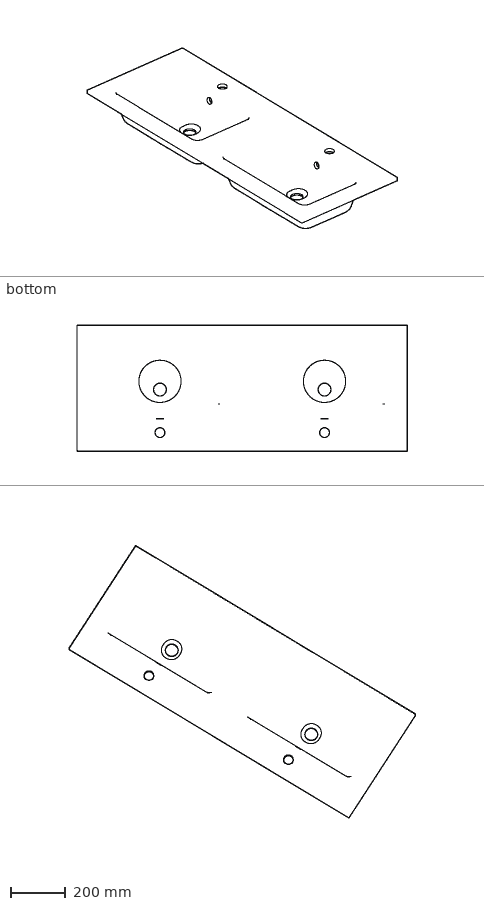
import cadquery as cq
import math

SLAB_LENGTH = 1205
SLAB_WIDTH = 460
SLAB_THICKNESS = 14
SLAB_CORNER_RADIUS = 3
SLAB_TOP_ROUND = 1.5

OVERALL_HEIGHT = 140
BASIN_X = 300
WALL = 12
FLOOR_THICKNESS = 14
RIM_HALF_LENGTH = 236
RIM_BACK_Y = 104.5
RIM_FRONT_Y = -164
SIDE_SLOPE = 14
BACK_SLOPE = 8
FRONT_SLOPE = 14
INNER_CORNER_RADIUS = 30
OUTER_CORNER_RADIUS = 45
INNER_FLOOR_RADIUS = 15
OUTER_FLOOR_RADIUS = 32
RIM_ROUND = 2
UNDERSIDE_ROUND = 9

FLOOR_FALL = 10
FLOOR_EDGE_DEPTH = OVERALL_HEIGHT - FLOOR_THICKNESS - FLOOR_FALL

PAD_Y = -25
PAD_RADIUS = 77
PAD_TOP_DEPTH = 130

DRAIN_Y = 5
DRAIN_DIAMETER = 46
DRAIN_RECESS_DIAMETER = 70
DRAIN_SEAT_HEIGHT = 8.5
DRAIN_SEAT_DEPTH = 133

TAP_Y = 162
TAP_DIAMETER = 35

OVERFLOW_DIAMETER = 25
OVERFLOW_DEPTH = 37
OVERFLOW_REACH = 30

LEVEL_TOLERANCE = 0.01


def make_slab():
    slab = cq.Workplane("XY").box(SLAB_LENGTH, SLAB_WIDTH, SLAB_THICKNESS, centered=(True, True, False))
    slab = slab.translate((0, 0, -SLAB_THICKNESS))
    slab = slab.edges("|Z").fillet(SLAB_CORNER_RADIUS)
    return slab.faces(">Z").edges().fillet(SLAB_TOP_ROUND)


def wall_position(rim, outward, slope, depth, offset):
    """Coordinate of a leaning wall at a depth, moved outward by a normal offset."""
    lean = math.radians(slope)
    return rim + outward * (offset / math.cos(lean) - depth * math.tan(lean))


def outline_corners(depth, offset):
    right = wall_position(RIM_HALF_LENGTH, 1, SIDE_SLOPE, depth, offset)
    back = wall_position(RIM_BACK_Y, 1, BACK_SLOPE, depth, offset)
    front = wall_position(RIM_FRONT_Y, -1, FRONT_SLOPE, depth, offset)
    plan = [(-right, front), (right, front), (right, back), (-right, back)]
    return [cq.Vector(x, y, -depth) for x, y in plan]


def flat_face(corners):
    return cq.Face.makeFromWires(cq.Wire.makePolygon(corners, close=True))


def basin_body(offset, floor_offset, corner_radius, floor_radius):
    """Tapered basin volume; its floor is four twisted patches meeting at the drain."""
    floor_depth = FLOOR_EDGE_DEPTH + floor_offset
    top = outline_corners(0, offset)
    low = outline_corners(floor_depth, offset)
    drain = cq.Vector(0, DRAIN_Y, -floor_depth - FLOOR_FALL)
    feet = [
        cq.Vector(0, low[0].y, -floor_depth),
        cq.Vector(low[1].x, DRAIN_Y, -floor_depth),
        cq.Vector(0, low[2].y, -floor_depth),
        cq.Vector(low[3].x, DRAIN_Y, -floor_depth),
    ]
    faces = [flat_face(top)]
    for i in range(4):
        j = (i + 1) % 4
        faces.append(flat_face([top[i], low[i], feet[i], low[j], top[j]]))
        to_drain = cq.Edge.makeLine(feet[i - 1], drain)
        along_wall = cq.Edge.makeLine(low[i], feet[i])
        faces.append(cq.Face.makeRuledSurface(to_drain, along_wall))
    solid = cq.Solid.makeSolid(cq.Shell.makeShell(faces))
    body = cq.Workplane("XY").newObject([solid.fix()])
    corner_edges = []
    for corner in outline_corners(floor_depth / 2, offset):
        corner_edges.append(min(body.edges().vals(), key=lambda e: (e.Center() - corner).Length))
    body = body.newObject([body.val().fillet(corner_radius, corner_edges)])
    edges = body.edges().vals()
    floor_edges = [e for e in edges if abs(e.BoundingBox().zmin + floor_depth) < LEVEL_TOLERANCE]
    return body.newObject([body.val().fillet(floor_radius, floor_edges)])


def edges_at_height(body, height):
    """Basin outline edges lying flat at a height, leaving out the slab's own border."""
    level = [e for e in body.edges().vals() if abs(e.Center().z - height) < LEVEL_TOLERANCE]
    flat = [e for e in level if e.BoundingBox().zlen < LEVEL_TOLERANCE]
    reach = SLAB_LENGTH / 2 - SLAB_TOP_ROUND - LEVEL_TOLERANCE
    breadth = SLAB_WIDTH / 2 - SLAB_TOP_ROUND - LEVEL_TOLERANCE
    return [e for e in flat if abs(e.Center().x) < reach and abs(e.Center().y) < breadth]


def at_basins(shape):
    left = shape.translate((-BASIN_X, 0, 0))
    return left.union(shape.translate((BASIN_X, 0, 0)))


def drain_cutter():
    """Through hole with a conical seat, the cone running on past the basin floor."""
    hole_radius = DRAIN_DIAMETER / 2
    seat_width = DRAIN_RECESS_DIAMETER / 2 - hole_radius
    seat_base = -DRAIN_SEAT_DEPTH
    cone_radius = hole_radius + 2 * seat_width
    cone_top = seat_base + 2 * DRAIN_SEAT_HEIGHT
    profile = [
        (0, -OVERALL_HEIGHT),
        (hole_radius, -OVERALL_HEIGHT),
        (hole_radius, seat_base),
        (cone_radius, cone_top),
        (0, cone_top),
    ]
    cutter = cq.Workplane("XZ").polyline(profile).close().revolve(360, (0, 0, 0), (0, 1, 0))
    return cutter.translate((0, DRAIN_Y, 0))


def underside_pad():
    pad = cq.Workplane("XY", origin=(0, PAD_Y, -OVERALL_HEIGHT))
    return pad.circle(PAD_RADIUS).extrude(OVERALL_HEIGHT - PAD_TOP_DEPTH)


def tap_cutter():
    hole = cq.Workplane("XY").circle(TAP_DIAMETER / 2).extrude(-SLAB_THICKNESS)
    return hole.translate((0, TAP_Y, 0))


def overflow_cutter():
    start_y = RIM_BACK_Y - OVERFLOW_REACH
    hole = cq.Workplane("XZ", origin=(0, start_y, -OVERFLOW_DEPTH))
    return hole.circle(OVERFLOW_DIAMETER / 2).extrude(-2 * OVERFLOW_REACH)


def make_washbasin():
    basin_outside = basin_body(WALL, FLOOR_THICKNESS, OUTER_CORNER_RADIUS, OUTER_FLOOR_RADIUS)
    basin_inside = basin_body(0, 0, INNER_CORNER_RADIUS, INNER_FLOOR_RADIUS)
    part = make_slab().union(at_basins(basin_outside))
    under_edges = edges_at_height(part, -SLAB_THICKNESS)
    part = part.newObject([part.val().fillet(UNDERSIDE_ROUND, under_edges)])
    part = part.cut(at_basins(basin_inside))
    rim_edges = edges_at_height(part, 0)
    part = part.newObject([part.val().fillet(RIM_ROUND, rim_edges)])
    part = part.union(at_basins(underside_pad()))
    for cutter in (drain_cutter(), tap_cutter(), overflow_cutter()):
        part = part.cut(at_basins(cutter))
    return part


result = make_washbasin()